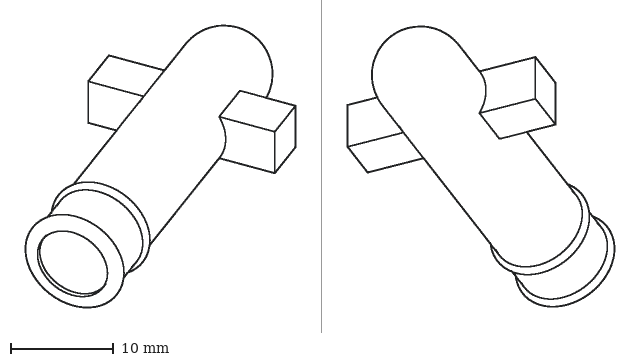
import cadquery as cq

total_length = 39.72
barrel_diameter = 9.5
ring_outer_diameter = 10.5
ring_section_diameter = 1.0
second_ring_spacing = 6.0
recess_diameter = 7.5
recess_depth = 0.5
arm_span = 20.0
arm_length = 4.8
arm_height = 4.95
arm_center_from_base = 27.55

barrel_radius = barrel_diameter / 2
ring_section_radius = ring_section_diameter / 2
ring_path_radius = ring_outer_diameter / 2 - ring_section_radius
dome_start = total_length - barrel_radius


def make_barrel():
    """Cylinder closed by a hemispherical dome, revolved about the Y axis."""
    dome_mid = barrel_radius * 0.5**0.5
    return (
        cq.Workplane("XY")
        .lineTo(barrel_radius, 0)
        .lineTo(barrel_radius, dome_start)
        .threePointArc((dome_mid, dome_start + dome_mid), (0, total_length))
        .close()
        .revolve(360, (0, 0, 0), (0, 1, 0))
    )


def make_ring(center_y):
    """Round-section ring around the barrel."""
    return (
        cq.Workplane("XY")
        .center(ring_path_radius, center_y)
        .circle(ring_section_radius)
        .revolve(360, (-ring_path_radius, 0, 0), (-ring_path_radius, 1, 0))
    )


def make_arms():
    """Rectangular bar through the barrel, forming one arm on each side."""
    return cq.Workplane("XY").box(arm_span, arm_length, arm_height).translate((0, arm_center_from_base, 0))


def make_recess():
    """Shallow round pocket in the flat end of the barrel."""
    return cq.Workplane("XZ").circle(recess_diameter / 2).extrude(-recess_depth)


result = make_barrel().union(make_arms())
first_ring_y = ring_section_radius
for ring_y in (first_ring_y, first_ring_y + second_ring_spacing):
    result = result.union(make_ring(ring_y))
result = result.cut(make_recess())